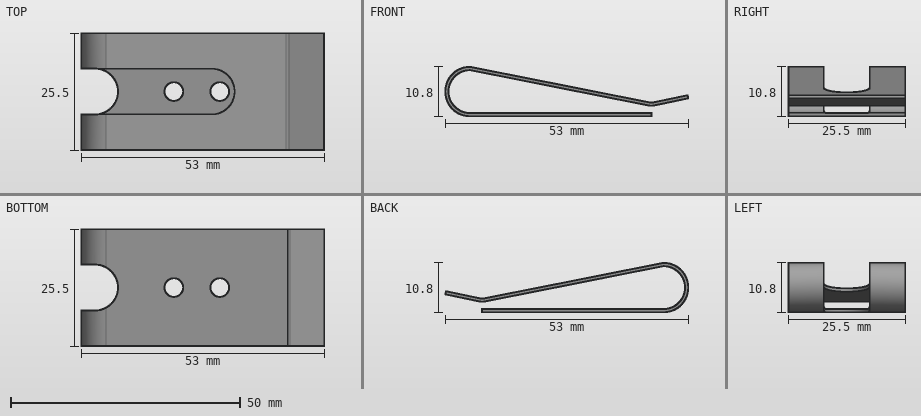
import cadquery as cq
import math

length = 53.0
width = 25.5
height = 10.8
thickness = 0.75
base_end = 45.0

loop_radius = height / 2
arm_angle = math.radians(11.2)
tip_angle = math.radians(11.8)
bend_x = 44.95
bend_inner_radius = 1.75
bend_outer_radius = bend_inner_radius + thickness

slot_width = 9.95
slot_end = 33.45
base_notch_end = 8.0
hole_diameter = 4.0
hole_centers = (20.2, 30.2)


def profile_wire():
    """Closed side outline of the bent strip, drawn in the XZ plane."""
    corner_z = height - (bend_x - loop_radius) * math.tan(arm_angle)

    half_turn = (arm_angle + tip_angle) / 2
    tilt = (tip_angle - arm_angle) / 2
    center_offset = bend_inner_radius / math.cos(half_turn)
    center_x = bend_x - center_offset * math.sin(tilt)
    center_z = corner_z + center_offset * math.cos(tilt)

    def bend_point(radius, angle):
        return (center_x + radius * math.sin(angle), center_z - radius * math.cos(angle))

    inner_start = bend_point(bend_inner_radius, -arm_angle)
    inner_middle = bend_point(bend_inner_radius, tilt)
    inner_end = bend_point(bend_inner_radius, tip_angle)
    outer_start = bend_point(bend_outer_radius, -arm_angle)
    outer_middle = bend_point(bend_outer_radius, tilt)
    outer_end = bend_point(bend_outer_radius, tip_angle)

    tip_lower = (length, outer_end[1] + (length - outer_end[0]) * math.tan(tip_angle))
    tip_upper = (
        tip_lower[0] - thickness * math.sin(tip_angle),
        tip_lower[1] + thickness * math.cos(tip_angle),
    )

    arm_under_z = height - thickness / math.cos(arm_angle)

    return (
        cq.Workplane("XZ")
        .moveTo(base_end, 0)
        .lineTo(loop_radius, 0)
        .threePointArc((0, loop_radius), (loop_radius, height))
        .lineTo(*inner_start)
        .threePointArc(inner_middle, inner_end)
        .lineTo(*tip_upper)
        .lineTo(*tip_lower)
        .lineTo(*outer_end)
        .threePointArc(outer_middle, outer_start)
        .lineTo(loop_radius, arm_under_z)
        .threePointArc((thickness, loop_radius), (loop_radius, thickness))
        .lineTo(base_end, thickness)
        .close()
    )


def round_ended_cutter(end_x, bottom_z, top_z):
    """Vertical cutter open past the loop, with a full-radius end at end_x."""
    radius = slot_width / 2
    depth = top_z - bottom_z
    center_x = end_x - radius
    start_x = -loop_radius
    straight = cq.Workplane("XY").box(
        center_x - start_x, slot_width, depth, centered=(False, True, False)
    ).translate((start_x, 0, bottom_z))
    end = cq.Workplane("XY", origin=(center_x, 0, bottom_z)).circle(radius).extrude(depth)
    return straight.union(end)


strip = profile_wire().extrude(width / 2, both=True)

strip = strip.cut(round_ended_cutter(slot_end, 2 * thickness, height + thickness))
strip = strip.cut(round_ended_cutter(base_notch_end, -thickness, height + thickness))

holes = (
    cq.Workplane("XY")
    .pushPoints([(x, 0) for x in hole_centers])
    .circle(hole_diameter / 2)
    .extrude(thickness)
)
result = strip.cut(holes)